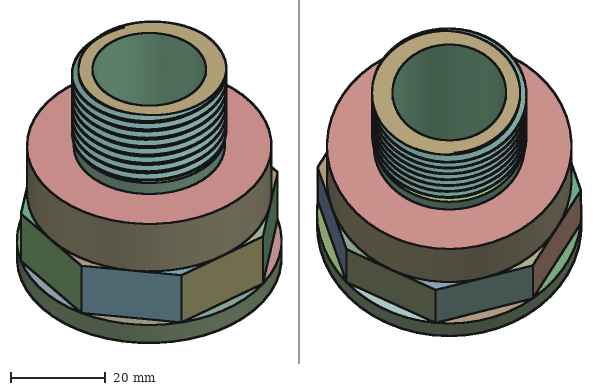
import cadquery as cq
import math

outer_diameter = 56.0
side_count = 8
overall_height = 52.0
flange_top = 5.0
octagon_top = 18.0
body_top = 31.0
collar_diameter = 32.0
collar_top = 34.05
bore_diameter = 24.0

body_diameter = outer_diameter * math.cos(math.pi / side_count)

core_diameter = 30.0
thread_diameter = 32.7
thread_pitch = 2.31
thread_base_width = 1.55
thread_crest_width = 0.3
thread_start_angle = 210.0
thread_start_height = 34.55
root_overlap = 0.15
clip_margin = 1.1


def cylinder(diameter, bottom, top):
    """Upright cylinder on the Z axis between two heights."""
    return cq.Workplane("XY").workplane(offset=bottom).circle(diameter / 2).extrude(top - bottom)


def octagon_band():
    """Wrench flats with corners on the X and Y axes."""
    return (
        cq.Workplane("XY")
        .workplane(offset=flange_top)
        .polygon(side_count, outer_diameter)
        .extrude(octagon_top - flange_top)
    )


def thread_ridge():
    """Helical ridge, trimmed flat at the collar and at the top of the spigot."""
    core_radius = core_diameter / 2
    crest_radius = thread_diameter / 2
    root_radius = core_radius - root_overlap
    flank_slope = (thread_base_width - thread_crest_width) / 2 / (crest_radius - core_radius)
    half_crest = thread_crest_width / 2
    half_root = thread_base_width / 2 + root_overlap * flank_slope

    helix_height = overall_height + clip_margin - thread_start_height
    helix = cq.Wire.makeHelix(thread_pitch, helix_height, root_radius)
    ridge = (
        cq.Workplane("XZ")
        .moveTo(root_radius, -half_root)
        .lineTo(crest_radius, -half_crest)
        .lineTo(crest_radius, half_crest)
        .lineTo(root_radius, half_root)
        .close()
        .sweep(cq.Workplane(obj=helix), isFrenet=True)
        .rotate((0, 0, 0), (0, 0, 1), thread_start_angle)
        .translate((0, 0, thread_start_height))
    )
    envelope = cylinder(thread_diameter + clip_margin, collar_top, overall_height)
    return ridge.intersect(envelope)


result = (
    cylinder(outer_diameter, 0, flange_top)
    .union(octagon_band())
    .union(cylinder(body_diameter, octagon_top, body_top))
    .union(cylinder(collar_diameter, body_top, collar_top))
    .union(cylinder(core_diameter, collar_top, overall_height))
    .union(thread_ridge())
    .cut(cylinder(bore_diameter, 0, overall_height))
)